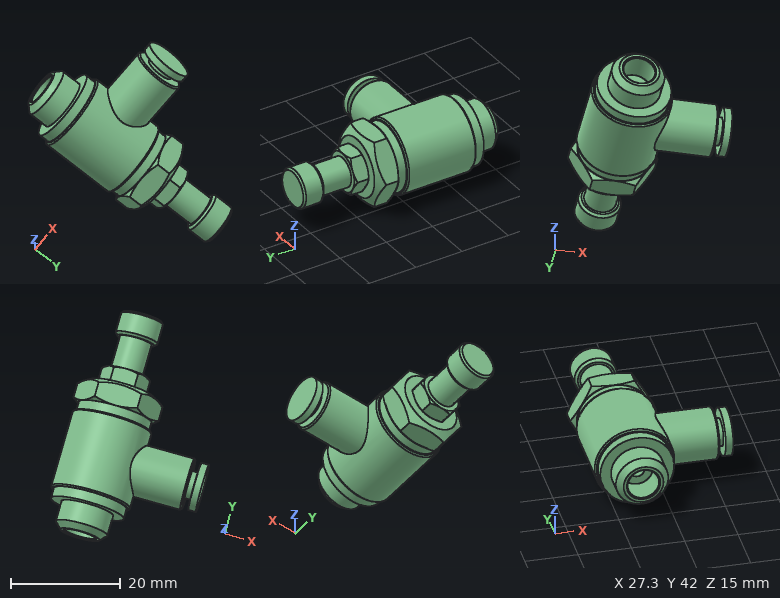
import cadquery as cq
import math

total_length = 42
tip_chamfer_length = 1.2
nose_end = 5.05
body_start = 6.95
body_end = 21.8
nut_start = 23.6
lock_nut_start = 28.15
stem_start = 31.25
knob_start = 37.45
port_station = (body_start + body_end) / 2

body_radius = 7.495
collar_radius = 6.95
nose_radius = 4.9
tip_radius = 3.75
stem_radius = 3.02
knob_radius = 4.0

edge_chamfer = 0.3
knob_top_chamfer = 0.38
knob_base_chamfer = 0.5

nut_across_flats = 14.03
nut_top_face_radius = 6.0
lock_nut_across_flats = 8
nut_bevel_angle = 30

bore_radius = 2.95
bore_mouth_chamfer = 0.2
bore_depth = nose_end
orifice_radius = 1.35
orifice_depth = 2.5

port_radius = 4.87
port_end = 16.6
release_neck_radius = 2.6
release_ring_radius = 4.5
release_ring_start = 17.75
release_ring_end = 19.2


def cylinder_y(radius, start, end):
    """Cylinder on the main axis between two stations."""
    workplane = cq.Workplane("XZ", origin=(0, start - port_station, 0))
    return workplane.circle(radius).extrude(start - end)


def cylinder_x(radius, start, end):
    """Cylinder on the port axis between two X positions."""
    return cq.Workplane("YZ", origin=(start, 0, 0)).circle(radius).extrude(end - start)


def hex_nut(across_flats, start, end, start_face_radius, end_face_radius):
    """Hexagon with corners on X and conical bevels at both ends."""
    corner_radius = across_flats / math.sqrt(3)
    slope = math.tan(math.radians(nut_bevel_angle))
    start_bevel = (corner_radius - start_face_radius) * slope
    end_bevel = (corner_radius - end_face_radius) * slope
    hexagon = (
        cq.Workplane("XZ", origin=(0, start - port_station, 0))
        .polygon(6, 2 * corner_radius)
        .extrude(start - end)
    )
    envelope = (
        cq.Workplane("XY", origin=(0, -port_station, 0))
        .polyline([
            (0, start),
            (start_face_radius, start),
            (corner_radius, start + start_bevel),
            (corner_radius, end - end_bevel),
            (end_face_radius, end),
            (0, end),
        ])
        .close()
        .revolve(360, (0, 0, 0), (0, 1, 0))
    )
    return hexagon.intersect(envelope)


def nose():
    """Threaded nose tapering to the tip."""
    cone_width = nose_radius - tip_radius
    return (
        cylinder_y(nose_radius, 0, nose_end)
        .faces("<Y").edges().chamfer(tip_chamfer_length, cone_width)
    )


def knob():
    """Adjusting knob at the end of the stem."""
    return (
        cylinder_y(knob_radius, knob_start, total_length)
        .faces(">Y").edges().chamfer(knob_top_chamfer)
        .faces("<Y").edges().chamfer(knob_base_chamfer)
    )


def port():
    """Side tube with its release ring."""
    tube = cylinder_x(port_radius, 0, port_end).faces(">X").edges().chamfer(edge_chamfer)
    neck = cylinder_x(release_neck_radius, port_end, release_ring_start)
    ring = cylinder_x(release_ring_radius, release_ring_start, release_ring_end)
    return tube.union(neck).union(ring)


def flow_bore():
    """Stepped blind bore with a chamfered mouth."""
    mouth = cq.Workplane(cq.Solid.makeCone(
        bore_radius + bore_mouth_chamfer, bore_radius, bore_mouth_chamfer,
        cq.Vector(0, -port_station, 0), cq.Vector(0, 1, 0),
    ))
    return (
        cylinder_y(bore_radius, 0, bore_depth)
        .union(mouth)
        .union(cylinder_y(orifice_radius, bore_depth, bore_depth + orifice_depth))
    )


body = cylinder_y(body_radius, body_start, body_end).faces("<Y or >Y").edges().chamfer(edge_chamfer)
collar = cylinder_y(collar_radius, nose_end, nut_start)
nut = hex_nut(
    nut_across_flats, nut_start, lock_nut_start, nut_across_flats / 2, nut_top_face_radius
)
lock_nut = hex_nut(
    lock_nut_across_flats, lock_nut_start, stem_start,
    lock_nut_across_flats / 2, lock_nut_across_flats / 2,
)
stem = cylinder_y(stem_radius, stem_start, knob_start)

result = body
for piece in (collar, nose(), nut, lock_nut, stem, knob(), port()):
    result = result.union(piece)
result = result.cut(flow_bore())